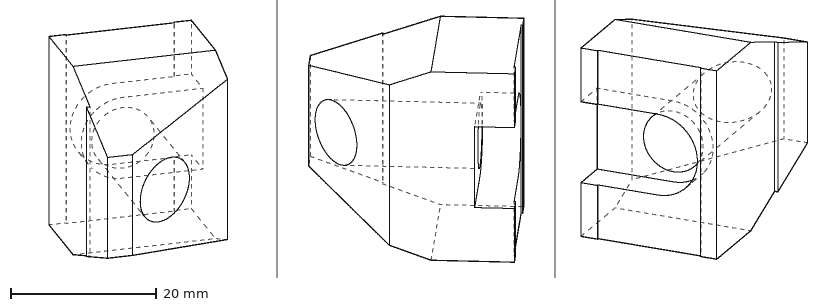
import cadquery as cq

length = 29.5
width = 21.0
height = 28.0

pad_height = 0.5
pad_start = 19.5

taper_start = 11.5
end_height = 15.0
back_slope_start = 17.25
end_thickness = 3.6

relief_depth = 0.2
back_land = 2.5
front_land = 2.45

bolt_diameter = 9.0
bolt_from_back = 11.5
slot_width = 12.0
slot_depth = 5.5

front_face = pad_height
bolt_y = width - bolt_from_back


def plan_body():
    """Plan outline with the pad and the sloped back, extruded over the full height."""
    outline = [
        (0, front_face),
        (pad_start, front_face),
        (pad_start, 0),
        (length, 0),
        (length, end_thickness),
        (back_slope_start, width),
        (0, width),
    ]
    return cq.Workplane("XY").polyline(outline).close().extrude(height / 2, both=True)


def side_taper():
    """Symmetric outline in XZ that narrows the body towards its end."""
    outline = [
        (0, -height / 2),
        (taper_start, -height / 2),
        (length, -end_height / 2),
        (length, end_height / 2),
        (taper_start, height / 2),
        (0, height / 2),
    ]
    return cq.Workplane("XZ").polyline(outline).close().extrude(-width)


def face_relief():
    """Shallow full-height recess between the front and back lands."""
    relief_width = width - front_face - front_land - back_land
    return (
        cq.Workplane("XY")
        .box(relief_depth, relief_width, height, centered=(False, False, True))
        .translate((0, front_face + front_land, 0))
    )


def head_slot():
    """Slot with a round inner end, open at the back and at the clamping face."""
    straight = cq.Workplane("XY").box(
        slot_depth, bolt_from_back, slot_width, centered=(False, False, True)
    ).translate((0, bolt_y, 0))
    round_end = cq.Workplane("YZ").center(bolt_y, 0).circle(slot_width / 2).extrude(slot_depth)
    return straight.union(round_end)


def bolt_hole():
    """Through hole along X."""
    return cq.Workplane("YZ").center(bolt_y, 0).circle(bolt_diameter / 2).extrude(length)


body = plan_body().intersect(side_taper())
result = body.cut(face_relief()).cut(head_slot()).cut(bolt_hole())